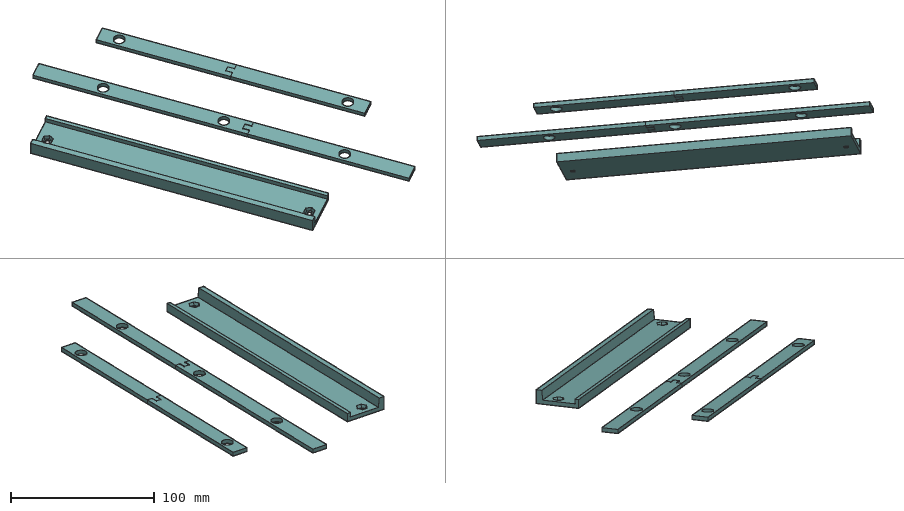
import cadquery as cq

thickness = 3.0
strip_width = 12.0
strip_hole_diameter = 8.0

long_length = 280.0
long_seam_x = 20.0
long_hole_pitch = 90.0

short_length = 200.0
short_center_x = -10.5
short_hole_end_distance = 14.8

tab_length = 5.0
tab_width = 4.0
long_socket_clearance = 0.42

channel_length = 210.0
channel_width = 32.0
channel_center_x = -11.2
channel_height = 10.0
back_lip_height = 6.5
back_lip_width = 2.8
front_lip_top_width = 4.2
front_lip_base_width = 5.0

screw_hole_diameter = 3.5
recess_top_corners = 8.0
recess_bottom_corners = 6.2
recess_depth = 2.2
screw_hole_end_distance = 7.5
screw_hole_y = 13.7

total_depth = 127.0
strip_spacing = 47.3
short_center_y = total_depth - strip_width / 2
long_center_y = short_center_y - strip_spacing


def box_between(x_start, x_end, center_y, width):
    """Plate of the common thickness standing on Z = 0."""
    return (
        cq.Workplane("XY")
        .box(x_end - x_start, width, thickness, centered=(False, True, False))
        .translate((x_start, center_y, 0))
    )


def through_holes(points, diameter):
    """Vertical cylinders that cut through the common thickness."""
    return cq.Workplane("XY").pushPoints(points).circle(diameter / 2).extrude(thickness)


def make_strip_halves(length, center_x, center_y, seam_x, hole_xs, clearance):
    """Socket half on the left and tab half on the right of one strip."""
    left_x = center_x - length / 2
    right_x = center_x + length / 2
    tab_x = seam_x - tab_length
    holes = through_holes([(x, center_y) for x in hole_xs], strip_hole_diameter)

    socket = box_between(tab_x, seam_x, center_y, tab_width + 2 * clearance)
    socket_half = box_between(left_x, seam_x, center_y, strip_width).cut(socket).cut(holes)

    tab = box_between(tab_x, seam_x, center_y, tab_width)
    tab_half = box_between(seam_x, right_x, center_y, strip_width).union(tab).cut(holes)
    return socket_half, tab_half


def make_channel():
    """Floor with a low back lip and a taller front lip with a sloping inner face."""
    profile = [
        (0, 0),
        (channel_width, 0),
        (channel_width, back_lip_height),
        (channel_width - back_lip_width, back_lip_height),
        (channel_width - back_lip_width, thickness),
        (front_lip_base_width, thickness),
        (front_lip_top_width, channel_height),
        (0, channel_height),
    ]
    body = (
        cq.Workplane("YZ")
        .polyline(profile)
        .close()
        .extrude(channel_length / 2, both=True)
        .translate((channel_center_x, 0, 0))
    )

    hole_offset = channel_length / 2 - screw_hole_end_distance
    hole_points = [(channel_center_x + side * hole_offset, screw_hole_y) for side in (-1, 1)]
    body = body.cut(through_holes(hole_points, screw_hole_diameter))

    for x, y in hole_points:
        recess = (
            cq.Workplane("XY")
            .polygon(6, recess_bottom_corners)
            .workplane(offset=recess_depth)
            .polygon(6, recess_top_corners)
            .loft(ruled=True)
            .rotate((0, 0, 0), (0, 0, 1), 90)
            .translate((x, y, thickness - recess_depth))
        )
        body = body.cut(recess)
    return body


short_hole_offset = short_length / 2 - short_hole_end_distance
short_socket_half, short_tab_half = make_strip_halves(
    short_length,
    short_center_x,
    short_center_y,
    short_center_x,
    [short_center_x - short_hole_offset, short_center_x + short_hole_offset],
    0,
)

long_socket_half, long_tab_half = make_strip_halves(
    long_length,
    0,
    long_center_y,
    long_seam_x,
    [-long_hole_pitch, 0, long_hole_pitch],
    long_socket_clearance,
)

channel = make_channel()

result = cq.Compound.makeCompound([
    short_socket_half.val(),
    short_tab_half.val(),
    long_socket_half.val(),
    long_tab_half.val(),
    channel.val(),
])